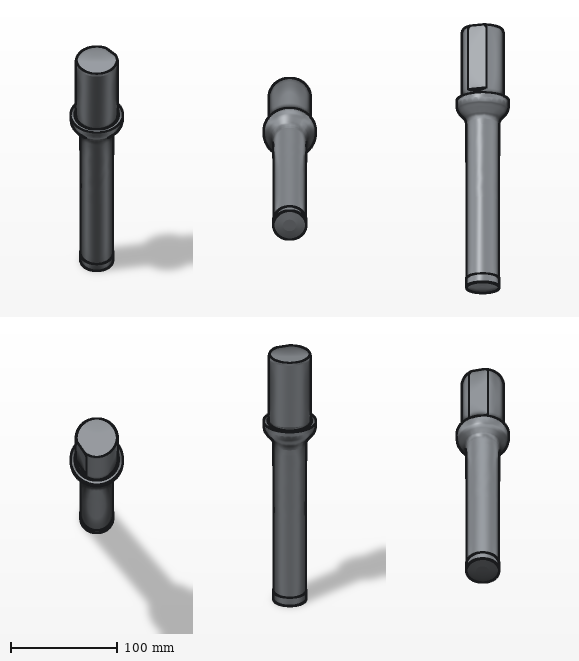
import cadquery as cq

TOTAL_LENGTH = 258.0
RIM_LEVEL = 1.5
HEAD_LENGTH = 9.8
TAPER_START = 86.7
TAPER_END = 159.0
NECK_TOP = 164.3
FLANGE_EDGE = 183.2
FLANGE_TOP = 187.8

HEAD_DIAMETER = 31.5
STEM_DIAMETER = 30.7
NECK_DIAMETER = HEAD_DIAMETER
FLANGE_DIAMETER = 49.5
SHANK_DIAMETER = 40.0
RELIEF_DIAMETER = 39.5
FACE_GROOVE_DIAMETER = 41.8

RIM_CHAMFER_WIDTH = 0.3
RIM_CHAMFER_HEIGHT = 0.8
TIP_FLAT_DIAMETER = 12.5
SHANK_CHAMFER_HEIGHT = 3.0
SHANK_CHAMFER_WIDTH = 0.5
SHANK_LIP_HEIGHT = 1.0
SHANK_LIP_WIDTH = 0.5
RELIEF_HEIGHT = 2.3
RELIEF_RUNOUT = 1.0
FACE_GROOVE_DEPTH = 0.5
FLAT_DISTANCE = 17.8
FLAT_START = 191.5
FLAT_RUNOUT = 3.0

head_radius = HEAD_DIAMETER / 2
stem_radius = STEM_DIAMETER / 2
neck_radius = NECK_DIAMETER / 2
flange_radius = FLANGE_DIAMETER / 2
shank_radius = SHANK_DIAMETER / 2
relief_radius = RELIEF_DIAMETER / 2
face_groove_radius = FACE_GROOVE_DIAMETER / 2


def make_head():
    """Cutting head: a short cylinder with a chamfered rim and a shallow, blunted conical tip."""
    return (
        cq.Workplane("XZ")
        .lineTo(TIP_FLAT_DIAMETER / 2, 0)
        .lineTo(head_radius - RIM_CHAMFER_WIDTH, RIM_LEVEL - RIM_CHAMFER_HEIGHT)
        .lineTo(head_radius, RIM_LEVEL)
        .lineTo(head_radius, HEAD_LENGTH)
        .lineTo(0, HEAD_LENGTH)
        .close()
        .revolve(360, (0, 0, 0), (0, 1, 0))
    )


def make_turned_holder():
    """Stem, flared flange and shank as one revolved profile."""
    flare_middle = ((neck_radius + flange_radius) / 2, (NECK_TOP + FLANGE_EDGE) / 2)
    flare_slope = (1, 1)
    axial = (0, 1)
    lip_radius = shank_radius - SHANK_CHAMFER_WIDTH
    groove_floor = FLANGE_TOP - FACE_GROOVE_DEPTH
    relief_top = FLANGE_TOP + RELIEF_HEIGHT
    return (
        cq.Workplane("XZ")
        .moveTo(0, HEAD_LENGTH)
        .lineTo(stem_radius, HEAD_LENGTH)
        .lineTo(stem_radius, TAPER_START)
        .lineTo(neck_radius, TAPER_END)
        .lineTo(neck_radius, NECK_TOP)
        .spline(
            [flare_middle, (flange_radius, FLANGE_EDGE)],
            tangents=[axial, flare_slope, axial],
            includeCurrent=True,
        )
        .lineTo(flange_radius, FLANGE_TOP)
        .lineTo(face_groove_radius, FLANGE_TOP)
        .lineTo(face_groove_radius - FACE_GROOVE_DEPTH, groove_floor)
        .lineTo(relief_radius, groove_floor)
        .lineTo(relief_radius, relief_top - RELIEF_RUNOUT)
        .lineTo(shank_radius, relief_top)
        .lineTo(shank_radius, TOTAL_LENGTH - SHANK_CHAMFER_HEIGHT)
        .lineTo(lip_radius, TOTAL_LENGTH - SHANK_LIP_HEIGHT)
        .lineTo(lip_radius - SHANK_LIP_WIDTH, TOTAL_LENGTH)
        .lineTo(0, TOTAL_LENGTH)
        .close()
        .revolve(360, (0, 0, 0), (0, 1, 0))
    )


def make_flat_cutter():
    """Material removed by the +Y shank flat, with a sloped run-out at its lower end."""
    return (
        cq.Workplane("YZ")
        .moveTo(shank_radius, FLAT_START)
        .lineTo(FLAT_DISTANCE, FLAT_START + FLAT_RUNOUT)
        .lineTo(FLAT_DISTANCE, TOTAL_LENGTH)
        .lineTo(shank_radius, TOTAL_LENGTH)
        .close()
        .extrude(shank_radius, both=True)
    )


head = make_head()
holder = make_turned_holder().cut(make_flat_cutter())

result = cq.Compound.makeCompound([holder.val(), head.val()])